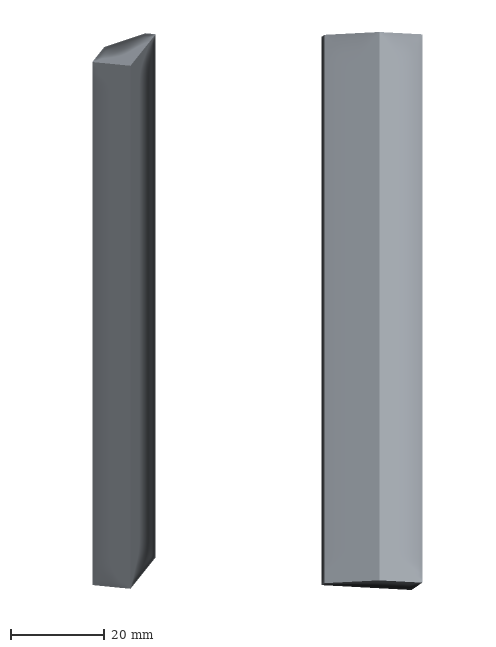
import cadquery as cq

thickness = 8.5
width = 20.0
length = 120.0

flat_width = 9.6
edge_thickness = 2.3

profile = [
    (0, 0),
    (thickness, 0),
    (thickness, width),
    (thickness - edge_thickness, width),
    (0, flat_width),
]

result = cq.Workplane("XY").polyline(profile).close().extrude(length)